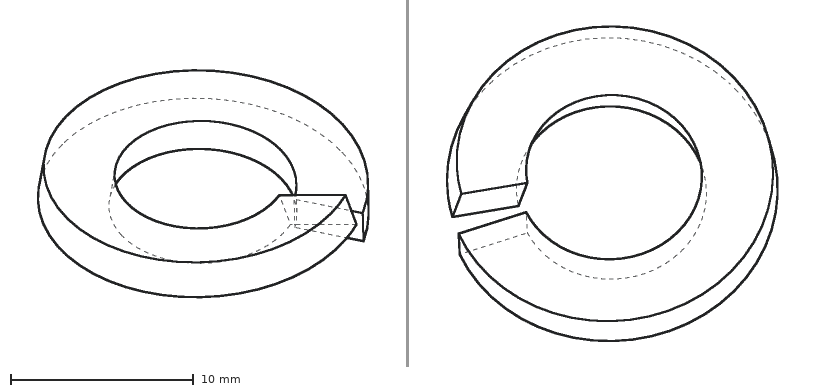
import cadquery as cq
import math

OUTER_RADIUS = 9.05
BAR_WIDTH = 3.93
BAR_HEIGHT = 2.17
PITCH = 2.25
LEAN_PER_TURN = 15.2

WIND_START = 1.0
WIND_END = 359.0
EDGE_POINTS = 60

SLOT_LOWER_END_Y = 0.47
SLOT_WIDTH = 1.05
SLOT_SLANT = 0.08
SLOT_DEPTH = 10.85
SLOT_TOP = 7.24
SLOT_BOTTOM = -1.8


def bar_corner(degrees, inward, upward):
    """Point on the bar, offset from its outer bottom edge in the leaning section."""
    turn = degrees / 360
    lean = math.radians(LEAN_PER_TURN * turn)
    angle = math.radians(degrees)
    radius = OUTER_RADIUS - inward * math.cos(lean) - upward * math.sin(lean)
    height = PITCH * turn - inward * math.sin(lean) + upward * math.cos(lean)
    return cq.Vector(radius * math.cos(angle), radius * math.sin(angle), height)


def corner_edge(inward, upward):
    """Spiral edge traced by one corner of the section."""
    step = (WIND_END - WIND_START) / EDGE_POINTS
    angles = [WIND_START + i * step for i in range(EDGE_POINTS + 1)]
    return cq.Edge.makeSpline([bar_corner(a, inward, upward) for a in angles])


def end_face(degrees, corners):
    points = [bar_corner(degrees, *corner) for corner in corners]
    return cq.Face.makeFromWires(cq.Wire.makePolygon(points, close=True))


def wound_bar():
    corners = [(0, 0), (BAR_WIDTH, 0), (BAR_WIDTH, BAR_HEIGHT), (0, BAR_HEIGHT)]
    edges = [corner_edge(*corner) for corner in corners]
    faces = [cq.Face.makeRuledSurface(edges[i - 1], edges[i]) for i in range(len(edges))]
    faces += [end_face(WIND_START, corners), end_face(WIND_END, corners)]
    solid = cq.Solid.makeSolid(cq.Shell.makeShell(faces))
    return cq.Workplane(obj=solid.fix())


def end_slot():
    lower_end_at_bottom = SLOT_LOWER_END_Y - SLOT_SLANT * SLOT_BOTTOM
    lower_end_at_top = SLOT_LOWER_END_Y - SLOT_SLANT * SLOT_TOP
    return (
        cq.Workplane("YZ")
        .moveTo(lower_end_at_bottom, SLOT_BOTTOM)
        .lineTo(lower_end_at_top, SLOT_TOP)
        .lineTo(lower_end_at_top - SLOT_WIDTH, SLOT_TOP)
        .lineTo(lower_end_at_bottom - SLOT_WIDTH, SLOT_BOTTOM)
        .close()
        .extrude(SLOT_DEPTH)
    )


result = wound_bar().cut(end_slot())